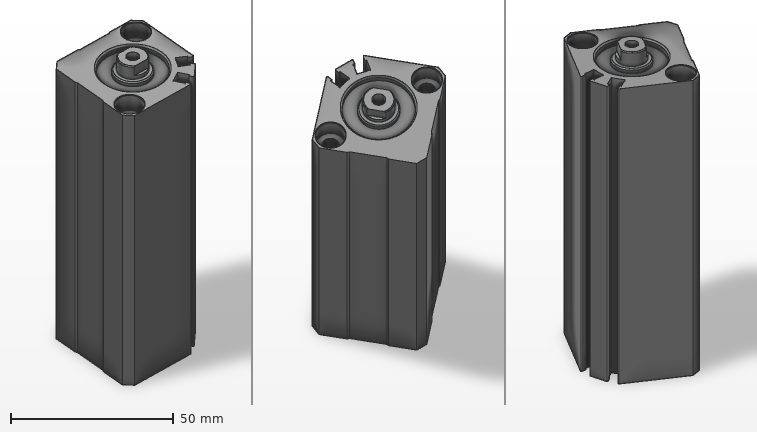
import cadquery as cq
import math

total_height = 111.0
width = 36.0
rod_protrusion = 4.5
body_height = total_height - rod_protrusion
half_width = width / 2

corner_chamfer = 2.7
slot_corner_chamfer = 8.9
groove_outer_width = 13.1
groove_floor_width = 11.8
groove_depth = 0.3

slot_angles = (30, 60)
slot_floor_distance = 13.9
slot_shoulder_distance = 17.6
slot_chamber_width = 4.4
slot_neck_width = 3.3
slot_cut_distance = 22.2
slot_lip_distance = 18.9
slot_lip_radius = 0.3

mount_spacing = 25.4
mount_offset = mount_spacing / 2
mount_hole_diameter = 5.1
mount_counterbore_diameter = 9.2
mount_counterbore_depth = 6.1
mount_edge_chamfer = 0.2

recess_diameter = 22.6
recess_depth = 2.2
recess_chamfer = 0.5
collar_diameter = 13.1
collar_height = 1.7
collar_chamfer = 0.4

rod_diameter = 10.0
rod_insertion = 11.1
rod_length = rod_insertion + rod_protrusion
rod_end_chamfer = 0.3
flat_spacing = 8.0
flat_height = 3.7
thread_hole_diameter = 4.2
thread_hole_depth = 7.0


def body_block():
    """Square prism with four chamfered vertical edges."""
    block = cq.Workplane("XY").rect(width, width).extrude(body_height)
    block = block.edges("|Z").edges("<X or <Y").chamfer(corner_chamfer)
    return block.edges("|Z").edges(">(1, 1, 0)").chamfer(slot_corner_chamfer)


def face_groove():
    """Shallow full-height trapezoidal groove in the -Y face."""
    return (
        cq.Workplane("XY")
        .polyline([
            (-groove_outer_width / 2, -half_width),
            (groove_outer_width / 2, -half_width),
            (groove_floor_width / 2, groove_depth - half_width),
            (-groove_floor_width / 2, groove_depth - half_width),
        ])
        .close()
        .extrude(body_height)
    )


def sensor_slot(angle):
    """Full-height T-slot whose opening points outward at the given angle from +X."""
    chamber_length = slot_shoulder_distance - slot_floor_distance
    neck_length = slot_cut_distance - slot_floor_distance
    chamber = cq.Workplane("XY").box(
        chamber_length, slot_chamber_width, body_height, centered=(False, True, False)
    )
    neck = cq.Workplane("XY").box(
        neck_length, slot_neck_width, body_height, centered=(False, True, False)
    )
    slot = chamber.union(neck).translate((slot_floor_distance, 0, 0))
    return slot.rotate((0, 0, 0), (0, 0, 1), angle)


def is_slot_lip(edge):
    """True for a vertical edge where a sensor slot opens through the outside of the block."""
    center = edge.Center()
    at_slot_corner = center.x > 0 and center.y > 0
    return at_slot_corner and math.hypot(center.x, center.y) > slot_lip_distance


def top_recess():
    """Round recess with a chamfered rim, leaving the chamfered collar standing on its floor."""
    floor_z = body_height - recess_depth
    recess = cq.Workplane("XY").workplane(offset=floor_z).circle(recess_diameter / 2).extrude(recess_depth)
    rim = (
        cq.Workplane("XY")
        .workplane(offset=body_height)
        .circle(recess_diameter / 2 + recess_chamfer)
        .extrude(-recess_chamfer, taper=45)
    )
    collar = (
        cq.Workplane("XY")
        .workplane(offset=floor_z)
        .circle(collar_diameter / 2)
        .extrude(collar_height)
        .faces(">Z")
        .chamfer(collar_chamfer)
    )
    return recess.union(rim).cut(collar)


def mount_hole():
    """Stepped hole along the Z axis, with chamfers at the rim and at the step, cut as one revolved shape."""
    hole_radius = mount_hole_diameter / 2
    counterbore_radius = mount_counterbore_diameter / 2
    step_z = body_height - mount_counterbore_depth
    return (
        cq.Workplane("XZ")
        .polyline([
            (0, 0),
            (hole_radius, 0),
            (hole_radius, step_z - mount_edge_chamfer),
            (hole_radius + mount_edge_chamfer, step_z),
            (counterbore_radius, step_z),
            (counterbore_radius, body_height - mount_edge_chamfer),
            (counterbore_radius + mount_edge_chamfer, body_height),
            (0, body_height),
        ])
        .close()
        .revolve(360, (0, 0, 0), (0, 1, 0))
    )


def make_housing():
    """Profiled body with side grooves, sensor slots, mounting holes, top recess and a blind rod bore."""
    groove = face_groove()
    housing = body_block().cut(groove)
    housing = housing.cut(groove.rotate((0, 0, 0), (0, 0, 1), -90))
    for angle in slot_angles:
        housing = housing.cut(sensor_slot(angle))
    housing = housing.edges("|Z").filter(is_slot_lip).fillet(slot_lip_radius)
    for side in (-1, 1):
        housing = housing.cut(mount_hole().translate((side * mount_offset, -side * mount_offset, 0)))
    rod_bore = (
        cq.Workplane("XY")
        .workplane(offset=body_height - rod_insertion)
        .circle(rod_diameter / 2)
        .extrude(rod_insertion)
    )
    return housing.cut(top_recess()).cut(rod_bore)


def make_rod():
    """Round rod with two wrench flats and a blind thread hole in its end."""
    rod = (
        cq.Workplane("XY")
        .workplane(offset=body_height - rod_insertion)
        .circle(rod_diameter / 2)
        .extrude(rod_length)
        .faces(">Z")
        .chamfer(rod_end_chamfer)
    )
    flat_stock = (rod_diameter - flat_spacing) / 2
    for side in (-1, 1):
        flat_cut = cq.Workplane("XY").box(
            flat_stock, rod_diameter, flat_height, centered=(True, True, False)
        )
        flat_x = side * (flat_spacing + flat_stock) / 2
        rod = rod.cut(flat_cut.translate((flat_x, 0, total_height - flat_height)))
    return rod.faces(">Z").workplane(origin=(0, 0, total_height)).hole(thread_hole_diameter, thread_hole_depth)


housing = make_housing()
rod = make_rod()

result = cq.Compound.makeCompound([housing.val(), rod.val()])